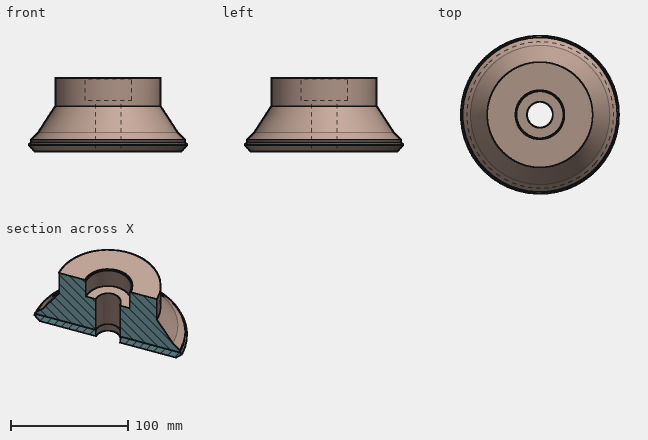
import cadquery as cq

disc_radius = 67.5
disc_bottom_radius = 62.5
disc_height = 7.8
disc_lower_bevel_height = 5.4
disc_upper_bevel = 1.6

total_height = 63.0
neck_radius = 45.0
neck_height = 24.0
flare_radius = 59.5
flare_bottom_z = 16.6
skirt_radius = disc_radius - disc_upper_bevel
skirt_top_z = 10.1

bore_radius = 11.0
counterbore_radius = 20.0
counterbore_depth = 19.0
counterbore_chamfer = 1.0


def revolve_about_z(profile):
    """Turn a closed half-section, with X as radius and Y as height, about Z."""
    return profile.close().revolve(360, (0, 0, 0), (0, 1, 0))


def make_disc():
    """Bevelled disc with the through bore."""
    profile = (
        cq.Workplane("XZ")
        .moveTo(bore_radius, 0)
        .lineTo(disc_bottom_radius, 0)
        .lineTo(disc_radius, disc_lower_bevel_height)
        .lineTo(disc_radius, disc_height - disc_upper_bevel)
        .lineTo(skirt_radius, disc_height)
        .lineTo(bore_radius, disc_height)
    )
    return revolve_about_z(profile)


def make_hub():
    """Flared hub with a chamfered counterbore above the through bore."""
    counterbore_floor_z = total_height - counterbore_depth
    profile = (
        cq.Workplane("XZ")
        .moveTo(bore_radius, disc_height)
        .lineTo(skirt_radius, disc_height)
        .lineTo(skirt_radius, skirt_top_z)
        .lineTo(flare_radius, flare_bottom_z)
        .lineTo(neck_radius, total_height - neck_height)
        .lineTo(neck_radius, total_height)
        .lineTo(counterbore_radius + counterbore_chamfer, total_height)
        .lineTo(counterbore_radius, total_height - counterbore_chamfer)
        .lineTo(counterbore_radius, counterbore_floor_z)
        .lineTo(bore_radius, counterbore_floor_z)
    )
    return revolve_about_z(profile)


disc = make_disc()
hub = make_hub()

result = cq.Compound.makeCompound([disc.val(), hub.val()])